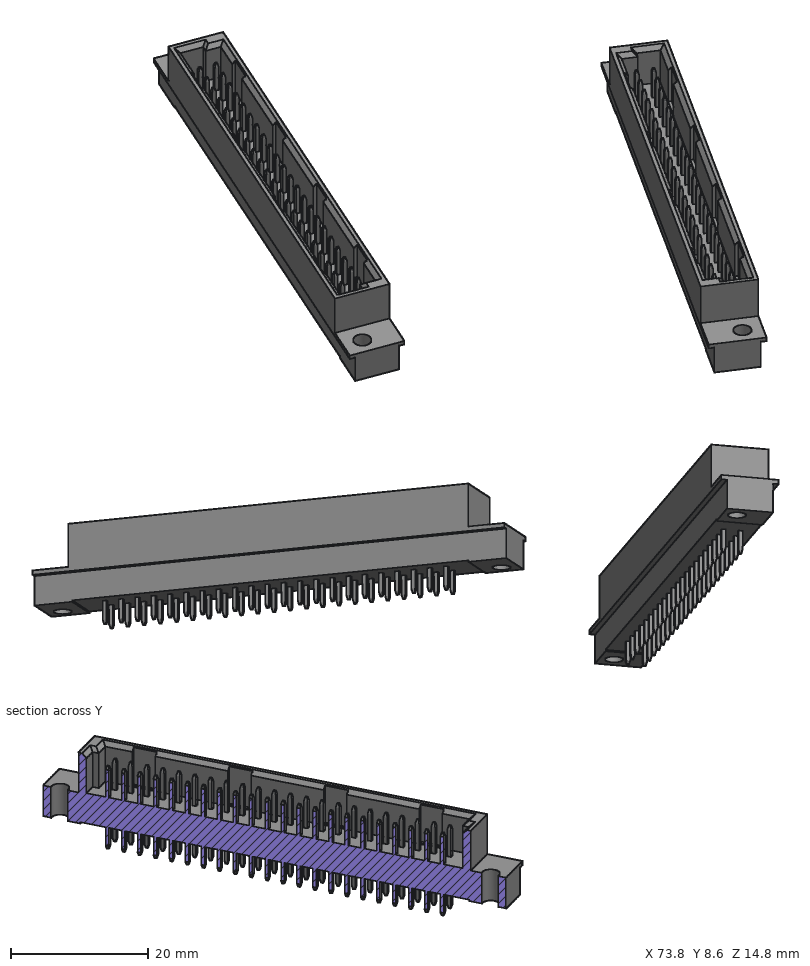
import cadquery as cq

length = 73.8
width = 8.6
height = 14.8

end_ledge = 5.6
shroud_height = 6.5
flange_thickness = 0.7
base_width = 6.9
tail_length = 3.5
foot_length = 5.9
foot_height = 0.2

hole_diameter = 2.65
hole_edge_distance = 2.6

cavity_depth = 6.35
cavity_length = 59.9
cavity_width = 6.0
rim_chamfer = 0.7
rim_chamfer_depth = 0.7
key_length = 0.95
key_front = 0.6

slot_count = 4
slot_width = 3.7
slot_depth = 0.5
slot_step = 0.15
slot_pitch_in_pins = 6

pin_columns = 22
row_length = 53.35
pin_pitch = row_length / (pin_columns - 1)
pin_size = 0.6
pin_height = 4.95
tip_length = 0.6
tip_size = 0.3

ledge_z = height - shroud_height
flange_z = ledge_z - flange_thickness
base_z = tail_length
floor_z = height - cavity_depth
row_y = pin_pitch / 2
pin_top_z = floor_z + pin_height


def block(size_x, size_y, z_low, z_high):
    """Box centred on the Z axis between two levels."""
    return cq.Workplane("XY", origin=(0, 0, z_low)).box(
        size_x, size_y, z_high - z_low, centered=(True, True, False)
    )


def cavity_outline(z, margin):
    """Stepped cavity outline at level z, enlarged all round by margin."""
    half_length = cavity_length / 2 + margin
    half_width = cavity_width / 2 + margin
    narrow = half_length - key_length
    step_y = key_front + margin
    points = [
        (-half_length, -half_width),
        (half_length, -half_width),
        (half_length, step_y),
        (narrow, step_y),
        (narrow, half_width),
        (-narrow, half_width),
        (-narrow, step_y),
        (-half_length, step_y),
    ]
    return cq.Workplane("XY", origin=(0, 0, z)).polyline(points).close()


def make_body():
    """Shroud, flange, base and the two end feet."""
    shroud = block(length - 2 * end_ledge, width, flange_z, height)
    flange = block(length, width, flange_z, ledge_z)
    base = block(length, base_width, base_z, flange_z)
    body = shroud.union(flange).union(base)
    foot_x = (length - foot_length) / 2
    for side in (-1, 1):
        foot = block(foot_length, base_width, base_z - foot_height, base_z)
        body = body.union(foot.translate((side * foot_x, 0, 0)))
    return body


def make_cavity():
    """Keyed cavity with a sloped lead-in around its rim."""
    straight = cavity_outline(floor_z, 0).extrude(cavity_depth)
    slope_z = height - rim_chamfer_depth
    lower = cavity_outline(slope_z, 0).wire().val()
    upper = cavity_outline(height, rim_chamfer).wire().val()
    lead_in = cq.Workplane(cq.Solid.makeLoft([lower, upper], True))
    return straight.union(lead_in)


def make_slots():
    """Pairs of vertical slots facing each other in the long cavity walls."""
    slot_pitch = slot_pitch_in_pins * pin_pitch
    return (
        cq.Workplane("XY", origin=(0, 0, floor_z + slot_step))
        .rarray(slot_pitch, 0.75, slot_count, 1)
        .rect(slot_width, cavity_width + 2 * slot_depth)
        .extrude(cavity_depth)
    )


def make_holes():
    """Mounting holes through both ledges, in line with the front contact row."""
    hole_x = length / 2 - hole_edge_distance
    return (
        cq.Workplane("XY")
        .pushPoints([(-hole_x, -row_y), (hole_x, -row_y)])
        .circle(hole_diameter / 2)
        .extrude(height)
    )


def pin_tip(z, direction):
    """Tapered contact end starting at level z and pointing up (1) or down (-1)."""
    return (
        cq.Workplane("XY", origin=(0, 0, z))
        .rect(pin_size, pin_size)
        .workplane(offset=direction * tip_length)
        .rect(tip_size, tip_size)
        .loft(ruled=True)
    )


def make_pin():
    """Square contact with tapered ends."""
    shank_low = tip_length
    shank_high = pin_top_z - tip_length
    shank = block(pin_size, pin_size, shank_low, shank_high)
    return shank.union(pin_tip(shank_low, -1)).union(pin_tip(shank_high, 1))


def make_pins():
    """Two rows of contacts."""
    pin = make_pin().val()
    return (
        cq.Workplane("XY")
        .rarray(pin_pitch, 2 * row_y, pin_columns, 2)
        .eachpoint(lambda place: pin.moved(place))
    )


result = make_body().cut(make_cavity()).cut(make_slots()).cut(make_holes()).union(make_pins())